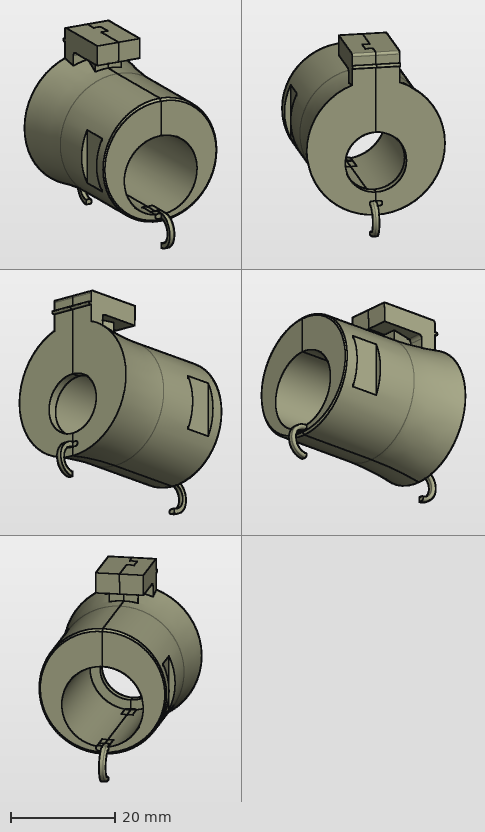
import cadquery as cq
import math

sleeve_length = 29.82
sleeve_radius = 12.5
flare_diameter = 27.15
flare_radius = flare_diameter / 2
flare_length = 12.25
end_chamfer = 0.48
end_draft_angle = 1.0

bore_drop = 3.0
entry_radius = 6.0
entry_depth = 1.9
cavity_radius = 8.0

latch_top = 19.0
latch_underside = 15.0
latch_half_width = 4.68
latch_length = 12.95
latch_end_setback = 0.07
latch_top_fillet = 0.5
neck_length = 3.42
neck_fillet = 0.7

bead_height = 16.35
bead_radius = 0.3
bead_reach = 0.63

rib_end = 8.85
rib_start_half_width = 1.47
rib_end_half_width = 2.85

tab_start = 3.0
tab_length = 3.0
tab_depth = 1.5

flat_start = 20.85
flat_length = 5.95
flat_offset = 11.25

strap_thickness = 1.0
strap_half_width = 1.25
shank_length = 5.5
hook_radius = 3.5
hook_center_z = -14.25
strap_radius = strap_thickness / 2
strap_center_z = hook_center_z + hook_radius - strap_radius

margin = 1.85
reach = 2 * latch_top


def flare_mid_point():
    """Point halfway along the flare arc, which meets the cylinder tangentially."""
    flare_rise = flare_radius - sleeve_radius
    arc_radius = (flare_length**2 + flare_rise**2) / (2 * flare_rise)
    half_span = flare_length / 2
    rise = arc_radius - math.sqrt(arc_radius**2 - half_span**2)
    return (flare_length - half_span, sleeve_radius + rise)


def make_sleeve_blank():
    return (
        cq.Workplane("XY")
        .moveTo(0, 0)
        .lineTo(0, flare_radius)
        .threePointArc(flare_mid_point(), (flare_length, sleeve_radius))
        .lineTo(sleeve_length - end_chamfer, sleeve_radius)
        .lineTo(sleeve_length, sleeve_radius - end_chamfer)
        .lineTo(sleeve_length, 0)
        .close()
        .revolve(360, (0, 0, 0), (1, 0, 0))
    )


def make_latch():
    profile = (
        cq.Workplane("XZ")
        .polyline(
            [
                (0, 0),
                (0, latch_top),
                (latch_length, latch_top),
                (latch_length - latch_end_setback, latch_underside),
                (neck_length, latch_underside),
                (neck_length, 0),
            ]
        )
        .close()
        .extrude(latch_half_width, both=True)
    )
    rounded = profile.edges("|Y").edges("<X and >Z").fillet(latch_top_fillet)
    inner_corner = cq.selectors.NearestToPointSelector((neck_length, 0, latch_underside))
    return rounded.edges(inner_corner).fillet(neck_fillet)


def make_bead():
    return (
        cq.Workplane("XZ")
        .moveTo(0, bead_height - bead_radius)
        .lineTo(bead_radius - bead_reach, bead_height - bead_radius)
        .threePointArc((-bead_reach, bead_height), (bead_radius - bead_reach, bead_height + bead_radius))
        .lineTo(0, bead_height + bead_radius)
        .close()
        .extrude(latch_half_width, both=True)
    )


def make_rib():
    base_z = sleeve_radius - margin
    return (
        cq.Workplane("XY", origin=(0, 0, base_z))
        .polyline(
            [
                (neck_length, -rib_start_half_width),
                (rib_end, -rib_end_half_width),
                (rib_end, rib_end_half_width),
                (neck_length, rib_start_half_width),
            ]
        )
        .close()
        .extrude(latch_underside - base_z)
    )


def make_bore():
    bore_plane = cq.Workplane("YZ", origin=(0, 0, -bore_drop))
    entry = bore_plane.circle(entry_radius).extrude(sleeve_length)
    cavity = (
        bore_plane.workplane(offset=entry_depth)
        .circle(cavity_radius)
        .extrude(sleeve_length - entry_depth)
    )
    return entry.union(cavity)


def make_flat_cutters():
    depth = flare_radius - flat_offset
    return (
        cq.Workplane("XY")
        .pushPoints(
            [
                (flat_start + flat_length / 2, side * (flat_offset + depth / 2))
                for side in (-1, 1)
            ]
        )
        .box(flat_length, depth, 2 * flare_radius)
    )


def make_end_draft():
    """Material removed from the right end so that both halves slope back from Y = 0."""
    setback = flare_radius * math.tan(math.radians(end_draft_angle))
    return (
        cq.Workplane("XY")
        .polyline(
            [
                (sleeve_length, 0),
                (sleeve_length - setback, flare_radius),
                (sleeve_length + margin, flare_radius),
                (sleeve_length + margin, -flare_radius),
                (sleeve_length - setback, -flare_radius),
            ]
        )
        .close()
        .extrude(flare_radius, both=True)
    )


def make_strap(side):
    """Half-stadium bar running inward from the left face, on one side (+1 or -1) of Y = 0."""
    flat_end = side * (strap_half_width - strap_radius)
    return (
        cq.Workplane("YZ", origin=(0, 0, strap_center_z))
        .moveTo(0, -strap_radius)
        .lineTo(flat_end, -strap_radius)
        .threePointArc((side * strap_half_width, 0), (flat_end, strap_radius))
        .lineTo(0, strap_radius)
        .close()
        .extrude(shank_length)
    )


def make_hook_at_left():
    """Half ring outside the left face with a straight shank inside the back half."""
    shank = make_strap(1)
    section = shank.faces("<X").wires().toPending().workplane(origin=(0, 0, hook_center_z))
    half_ring = section.revolve(180, (0, 0, 0), (1, 0, 0), combine=False)
    return shank.union(half_ring)


def make_tab():
    tab_height = latch_top - latch_underside
    return (
        cq.Workplane("XY", origin=(tab_start, 0, latch_underside))
        .box(tab_length, tab_depth, tab_height, centered=False)
    )


def make_front_space():
    """Everything in front of the parting plane, plus the tab that reaches behind it."""
    half_space = cq.Workplane("XY", origin=(0, -reach / 2, 0)).box(2 * reach, reach, 2 * reach)
    return half_space.union(make_tab())


def mirror_to_right_end(left_part):
    return left_part.mirror("YZ", (sleeve_length / 2, 0, 0))


end_draft = make_end_draft()
bore = make_bore()

left_hook = make_hook_at_left().cut(bore)
hooks = [left_hook, mirror_to_right_end(left_hook)]

left_insert = make_strap(-1).cut(bore)
inserts = [left_insert, mirror_to_right_end(left_insert).cut(end_draft)]

sleeve = make_sleeve_blank().union(make_latch()).union(make_bead()).union(make_rib())
sleeve = sleeve.cut(bore).cut(make_flat_cutters()).cut(end_draft)
for body in hooks + inserts:
    sleeve = sleeve.cut(body)

front_space = make_front_space()
front_half = sleeve.intersect(front_space)
back_half = sleeve.cut(front_space)

bodies = [front_half, back_half, *hooks, *inserts]
result = cq.Compound.makeCompound([body.solids().val() for body in bodies])